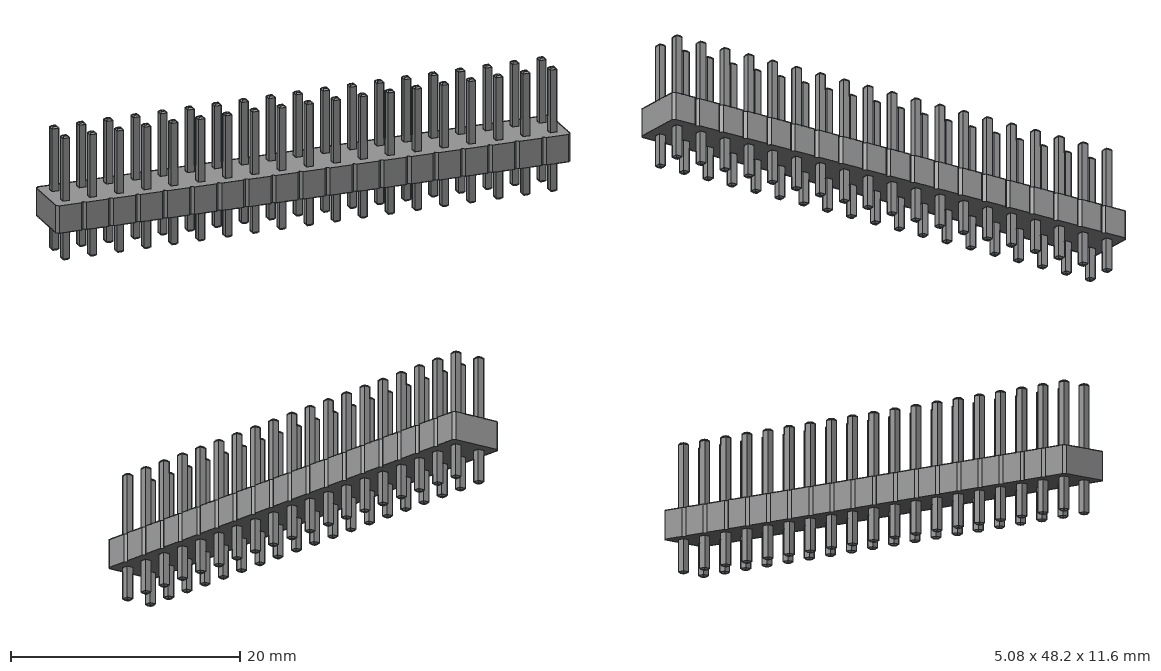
import cadquery as cq


strip_length = 48.25
rows = 19
columns = 2
pitch = strip_length / rows
strip_width = columns * pitch
strip_height = 2.55
corner_cut = 0.25

pin_width = 0.65
pin_above = 6.0
pin_below = 3.0
pin_tip_chamfer = 0.15
pin_length = pin_below + strip_height + pin_above


def centred_positions(count):
    """Places of `count` items one pitch apart, centred on zero."""
    return [(i - (count - 1) / 2) * pitch for i in range(count)]


pin_places = [(x, y) for x in centred_positions(columns) for y in centred_positions(rows)]


def make_strip():
    """One cell per row, with cut corners that leave V notches between cells."""
    cell = (
        cq.Workplane("XY")
        .box(strip_width, pitch, strip_height, centered=(True, True, False))
        .edges("|Z")
        .chamfer(corner_cut)
    )
    strip = cq.Workplane("XY")
    for y in centred_positions(rows):
        strip = strip.add(cell.translate((0, y, 0)))
    return strip.combine(clean=True)


def make_pins():
    """Square pins with chamfered tips, standing through the strip."""
    pin = (
        cq.Workplane("XY", origin=(0, 0, -pin_below))
        .rect(pin_width, pin_width)
        .extrude(pin_length)
        .faces("<Z or >Z")
        .chamfer(pin_tip_chamfer)
        .val()
    )
    return (
        cq.Workplane("XY")
        .pushPoints(pin_places)
        .eachpoint(lambda place: pin.moved(place), combine=False)
    )


result = make_strip().union(make_pins())